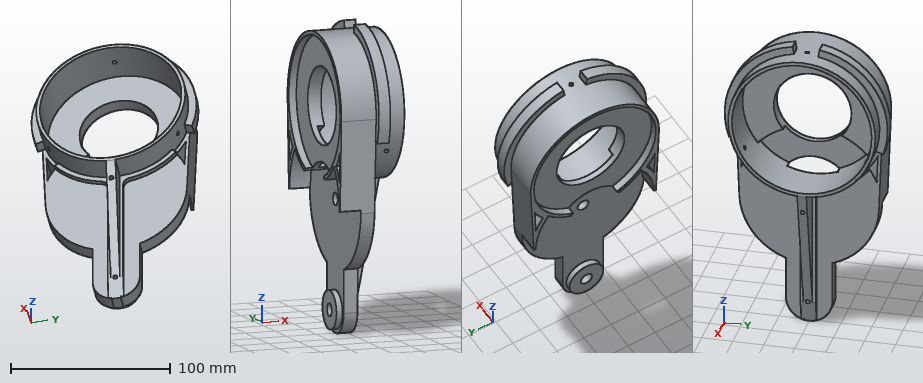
import cadquery as cq
import math

BEZEL_FRONT = 5.1
SLOT_FRONT = 9.2
BOSS_FRONT = 10.0
PLATE_FRONT = 14.0
PLATE_BACK = 23.2
RIB_BASE_BACK = 26.2
LUG_BACK = 30.9
TUBE_BACK = 42.3

OVERALL_HEIGHT = 196.7
WHEEL_Z = -59.8

TUBE_R = 47.5
LENS_POCKET_R = 90.0 / 2
BORE_R = 50.0 / 2
LUG_R = 105.0 / 2
LUG_START = 9.5
LUG_END = 109.0

DISC_R = LENS_POCKET_R
WHEEL_POCKET_R = 43.7
WHEEL_WALL_R = 47.5
SLOT_R = WHEEL_WALL_R
HUB_CLEARANCE_R = 24.0
WINDOW_LENS_R = 50.0
SIDE_WALL = 2.2

ARM_R = 15.0
ARM_Z = LUG_R * math.cos(math.radians(LUG_START)) - OVERALL_HEIGHT + ARM_R
ARM_BOSS_R = 25.0 / 2
PIVOT_R = 2.5 / 2
WHEEL_COUNTERBORE_R = 8.0 / 2
ARM_COUNTERBORE_R = 8.3 / 2
COUNTERBORE_DEPTH = 5.9
COLLAR_R = 50.7
COLLAR_END = 130.3
PAD_TOP_Z = -54.9
RIB_BASE_WIDTH = 9.8
RIB_WIDTH = 5.9

PIN_R = 2.5 / 2
TOP_PIN_X = 28.0
SIDE_PIN_X = 32.7
SIDE_PIN_ANGLE = 120


def sketch_at(x):
    return cq.Workplane("YZ", origin=(x, 0, 0))


def cylinder(radius, z, x_start, x_end):
    return sketch_at(x_start).center(0, z).circle(radius).extrude(x_end - x_start)


def block(half_width, z_bottom, z_top, x_start, x_end):
    outline = [(-half_width, z_bottom), (half_width, z_bottom), (half_width, z_top), (-half_width, z_top)]
    return sketch_at(x_start).polyline(outline).close().extrude(x_end - x_start)


def radial_point(radius, degrees_from_top):
    angle = math.radians(degrees_from_top)
    return radius * math.sin(angle), radius * math.cos(angle)


def housing(wall_inset, x_end):
    """Outline of the tube and disc circles joined by their common tangent lines."""
    top_r = TUBE_R - wall_inset
    bottom_r = DISC_R - wall_inset
    taper = math.asin((top_r - bottom_r) / WHEEL_Z)
    top_y = top_r * math.cos(taper)
    top_z = top_r * math.sin(taper)
    bottom_y = bottom_r * math.cos(taper)
    bottom_z = WHEEL_Z + bottom_r * math.sin(taper)
    return (
        sketch_at(0)
        .moveTo(-bottom_y, bottom_z)
        .threePointArc((0, WHEEL_Z - bottom_r), (bottom_y, bottom_z))
        .lineTo(top_y, top_z)
        .threePointArc((0, top_r), (-top_y, top_z))
        .close()
        .extrude(x_end)
    )


def lug():
    """Raised band around one side of the tube, ending on radial faces."""
    middle = (LUG_START + LUG_END) / 2
    root_r = TUBE_R - (TUBE_R - LENS_POCKET_R) / 2
    return (
        sketch_at(PLATE_BACK)
        .moveTo(*radial_point(root_r, LUG_START))
        .lineTo(*radial_point(LUG_R, LUG_START))
        .threePointArc(radial_point(LUG_R, middle), radial_point(LUG_R, LUG_END))
        .lineTo(*radial_point(root_r, LUG_END))
        .threePointArc(radial_point(root_r, middle), radial_point(root_r, LUG_START))
        .close()
        .extrude(LUG_BACK - PLATE_BACK)
    )


def rib_base():
    """Collar sector under the tube, blended by concave fillets into a narrow pad along the arm."""
    half = RIB_BASE_WIDTH / 2
    fillet_r = (half**2 + PAD_TOP_Z**2 - COLLAR_R**2) / (2 * (COLLAR_R - half))
    fillet_y = half + fillet_r
    contact = COLLAR_R / (COLLAR_R + fillet_r)
    contact_y, contact_z = fillet_y * contact, PAD_TOP_Z * contact
    to_contact = math.atan2(contact_z - PAD_TOP_Z, contact_y - fillet_y)
    mid_angle = (to_contact + math.pi) / 2
    mid_y = fillet_y + fillet_r * math.cos(mid_angle)
    mid_z = PAD_TOP_Z + fillet_r * math.sin(mid_angle)
    contact_angle = math.degrees(math.atan2(contact_y, contact_z))
    end = radial_point(COLLAR_R, COLLAR_END)
    along = radial_point(COLLAR_R, (COLLAR_END + contact_angle) / 2)
    pad_end_z = ARM_Z - math.sqrt(ARM_R**2 - half**2)
    return (
        sketch_at(PLATE_BACK)
        .moveTo(0, 0)
        .lineTo(*end)
        .threePointArc(along, (contact_y, contact_z))
        .threePointArc((mid_y, mid_z), (half, PAD_TOP_Z))
        .lineTo(half, pad_end_z)
        .lineTo(-half, pad_end_z)
        .lineTo(-half, PAD_TOP_Z)
        .threePointArc((-mid_y, mid_z), (-contact_y, contact_z))
        .threePointArc((-along[0], along[1]), (-end[0], end[1]))
        .close()
        .extrude(RIB_BASE_BACK - PLATE_BACK)
    )


def rib_profile(width):
    """Triangular side profile sloping from the back of the tube to the tip of the arm."""
    return (
        cq.Workplane("XZ", origin=(0, width / 2, 0))
        .moveTo(PLATE_FRONT, 0)
        .lineTo(TUBE_BACK, 0)
        .lineTo(TUBE_BACK, -TUBE_R)
        .lineTo(PLATE_BACK, ARM_Z - ARM_R)
        .lineTo(PLATE_FRONT, ARM_Z - ARM_R)
        .close()
        .extrude(width)
    )


def pin_hole(x, degrees_from_top):
    hole = cq.Workplane("XY", origin=(x, 0, 0)).circle(PIN_R).extrude(LUG_R)
    return hole.rotate((0, 0, 0), (1, 0, 0), degrees_from_top)


result = housing(0, PLATE_BACK)
result = result.cut(block(TUBE_R, WHEEL_Z - TUBE_R, WHEEL_Z, 0, PLATE_FRONT))
result = result.union(block(ARM_R, ARM_Z, WHEEL_Z, PLATE_FRONT, PLATE_BACK))
result = result.union(cylinder(ARM_R, ARM_Z, PLATE_FRONT, PLATE_BACK))
result = result.union(cylinder(ARM_BOSS_R, ARM_Z, BOSS_FRONT, PLATE_FRONT))

result = result.union(cylinder(TUBE_R, 0, PLATE_BACK, TUBE_BACK))
result = result.union(lug()).union(lug().mirror("XZ"))
result = result.union(rib_base().intersect(rib_profile(2 * TUBE_R)))
result = result.union(rib_profile(RIB_WIDTH))

result = result.cut(cylinder(LENS_POCKET_R, 0, 0, BEZEL_FRONT))
result = result.cut(cylinder(BORE_R, 0, 0, TUBE_BACK))
result = result.cut(cylinder(LENS_POCKET_R, 0, PLATE_FRONT, TUBE_BACK))

wheel_pocket = cylinder(WHEEL_POCKET_R, WHEEL_Z, 0, PLATE_FRONT)
result = result.cut(wheel_pocket.cut(cylinder(TUBE_R, 0, 0, PLATE_FRONT)))
slot = cylinder(SLOT_R, WHEEL_Z, SLOT_FRONT, PLATE_FRONT)
result = result.cut(slot.intersect(cylinder(LENS_POCKET_R, 0, SLOT_FRONT, PLATE_FRONT)))
result = result.cut(cylinder(HUB_CLEARANCE_R, WHEEL_Z, 0, PLATE_FRONT))

windows = housing(SIDE_WALL, PLATE_BACK)
windows = windows.cut(cylinder(WINDOW_LENS_R, 0, 0, PLATE_BACK))
windows = windows.cut(cylinder(WHEEL_WALL_R, WHEEL_Z, 0, PLATE_BACK))
result = result.cut(windows)

for pivot_z, face_x, counterbore_r in (
    (WHEEL_Z, PLATE_FRONT, WHEEL_COUNTERBORE_R),
    (ARM_Z, BOSS_FRONT, ARM_COUNTERBORE_R),
):
    result = result.cut(cylinder(PIVOT_R, pivot_z, 0, TUBE_BACK))
    result = result.cut(cylinder(counterbore_r, pivot_z, face_x, face_x + COUNTERBORE_DEPTH))

result = result.cut(pin_hole(TOP_PIN_X, 0))
for side in (-1, 1):
    result = result.cut(pin_hole(SIDE_PIN_X, side * SIDE_PIN_ANGLE))